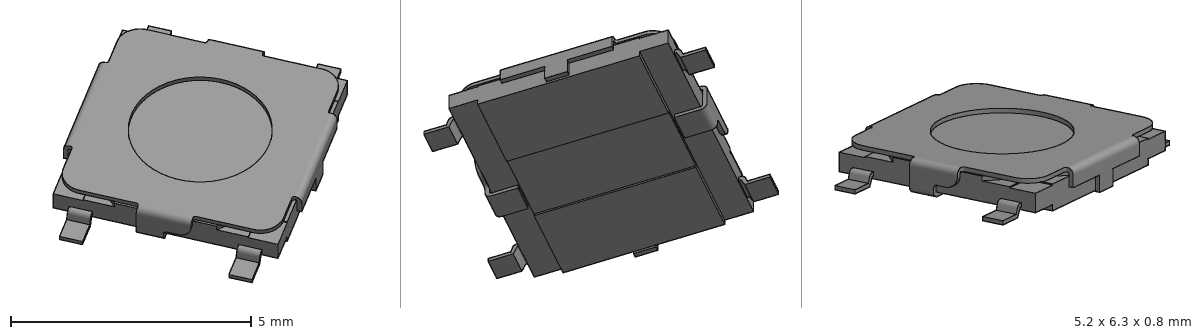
import cadquery as cq

width_x = 5.2
length_y = 6.3
height = 0.8

sheet = 0.1
cover_size = 4.8
cover_corner_radius = 0.505
button_diameter = 3.0
body_size = 4.9
relief_radius = (body_size - cover_size) / 2
tab_reach = width_x / 2
bend_radius = tab_reach - body_size / 2
cover_underside = height - sheet

body_bottom = 0.14
ledge_height = 0.59
corner_pad_height = 0.57
corner_pad_size = 0.65
raised_chamfer = 1.34
foot_length_y = 3.615
groove_width = 1.575
groove_depth = 0.05

side_tab_width = 2.5
side_tab_bottom = 0.385
side_leg_width = 0.505

end_tab_width = 1.2
end_tab_shoulder = 0.345
end_tab_round = 0.29
leg_root_round = 0.09
hook_bottom = 0.045
hook_end = 1.865

lead_width = 0.505
lead_offset_x = 1.845
lead_thickness = 0.095
lead_top = 0.295
lead_embed = 0.125
lead_knee = 2.575
lead_toe = 2.645
lead_heel = 2.59
lead_elbow = 2.495
lead_knee_round = 0.12


def block(x_range, y_range, z_range):
    """Box given by its limits along each axis."""
    (x0, x1), (y0, y1), (z0, z1) = x_range, y_range, z_range
    return cq.Workplane("XY").box(x1 - x0, y1 - y0, z1 - z0, centered=False).translate((x0, y0, z0))


def slab(size_x, size_y, bottom, top):
    """Box centred on the Z axis."""
    return cq.Workplane("XY").workplane(offset=bottom).rect(size_x, size_y).extrude(top - bottom)


def make_body():
    body = slab(body_size, body_size, body_bottom, ledge_height)
    pad_center = (body_size - corner_pad_size) / 2
    corner_pads = (
        cq.Workplane("XY").workplane(offset=corner_pad_height)
        .rect(2 * pad_center, 2 * pad_center, forConstruction=True).vertices()
        .rect(corner_pad_size, corner_pad_size).extrude(height)
    )
    raised = slab(body_size, body_size, body_bottom, cover_underside).edges("|Z").chamfer(raised_chamfer)
    foot = slab(body_size, foot_length_y, 0, body_bottom)
    groove = slab(groove_width, foot_length_y, 0, groove_depth)
    return body.cut(corner_pads).union(raised).union(foot.cut(groove))


def make_cover_plate():
    plate = slab(cover_size, cover_size, cover_underside, height).edges("|Z").fillet(cover_corner_radius)
    return plate.cut(cq.Workplane("XY").circle(button_diameter / 2).extrude(height))


def tab_root(tab_width):
    """Flare joining the cover's -Y edge to a tab, with a round on either side."""
    edge = -cover_size / 2
    half = tab_width / 2
    return (
        cq.Workplane("XY").workplane(offset=cover_underside)
        .moveTo(-half - relief_radius, edge)
        .radiusArc((-half, edge - relief_radius), relief_radius)
        .lineTo(half, edge - relief_radius)
        .radiusArc((half + relief_radius, edge), relief_radius)
        .close().extrude(sheet)
    )


def bent_sheet(tab_width, bottom, bent_edges, has_hook):
    """Sheet on the -Y side that turns down from the cover, and under the body if hooked."""
    half = tab_width / 2
    outer = block((-half, half), (-tab_reach, -hook_end), (bottom, height))
    outer = outer.edges(bent_edges).fillet(bend_radius)
    inner_bottom = bottom + sheet if has_hook else bottom - sheet
    inner = block((-half, half), (sheet - tab_reach, -hook_end), (inner_bottom, cover_underside))
    return outer.cut(inner.edges(bent_edges).fillet(bend_radius - sheet))


def make_side_tab():
    """T-shaped tab, built on the -Y side."""
    bent = bent_sheet(side_tab_width, 0, "|X and <Y and >Z", has_hook=False)
    flange = slab(side_tab_width, width_x, side_tab_bottom, height)
    leg = slab(side_leg_width, width_x, 0, height)
    return bent.intersect(flange.union(leg)).union(tab_root(side_tab_width))


def make_end_tab():
    """Tab with one rounded shoulder and a hooked leg, built on the -Y side."""
    half = end_tab_width / 2
    bent = bent_sheet(end_tab_width, hook_bottom, "|X and <Y", has_hook=True)
    silhouette = (
        cq.Workplane("XZ")
        .moveTo(-half, 0)
        .lineTo(-half, height)
        .lineTo(half, height)
        .lineTo(half, end_tab_shoulder + end_tab_round)
        .radiusArc((half - end_tab_round, end_tab_shoulder), end_tab_round)
        .lineTo(leg_root_round, end_tab_shoulder)
        .radiusArc((0, end_tab_shoulder - leg_root_round), -leg_root_round)
        .lineTo(0, 0)
        .close().extrude(tab_reach)
    )
    return bent.intersect(silhouette).union(tab_root(end_tab_width))


def make_lead():
    """Gull-wing lead on the +Y side, centred on X = 0."""
    root = body_size / 2 - lead_embed
    tip = length_y / 2
    knee_edge = cq.NearestToPointSelector((0, lead_knee, lead_top))
    elbow_edge = cq.NearestToPointSelector((0, lead_elbow, lead_top - lead_thickness))
    return (
        cq.Workplane("YZ").workplane(offset=-lead_width / 2)
        .moveTo(root, lead_top)
        .lineTo(lead_knee, lead_top)
        .lineTo(lead_toe, lead_thickness)
        .lineTo(tip, lead_thickness)
        .lineTo(tip, 0)
        .lineTo(lead_heel, 0)
        .lineTo(lead_elbow, lead_top - lead_thickness)
        .lineTo(root, lead_top - lead_thickness)
        .close().extrude(lead_width)
        .edges(knee_edge).fillet(lead_knee_round)
        .edges(elbow_edge).fillet(lead_knee_round - lead_thickness)
    )


def turned(shape, angle):
    return shape.rotate((0, 0, 0), (0, 0, 1), angle)


result = make_body().union(make_cover_plate())
side_tab = make_side_tab()
end_tab = make_end_tab()
lead = make_lead()

for half_turn in (0, 180):
    result = result.union(turned(end_tab, half_turn))
    result = result.union(turned(side_tab, half_turn + 90))
    for side in (-1, 1):
        result = result.union(turned(lead.translate((side * lead_offset_x, 0, 0)), half_turn))